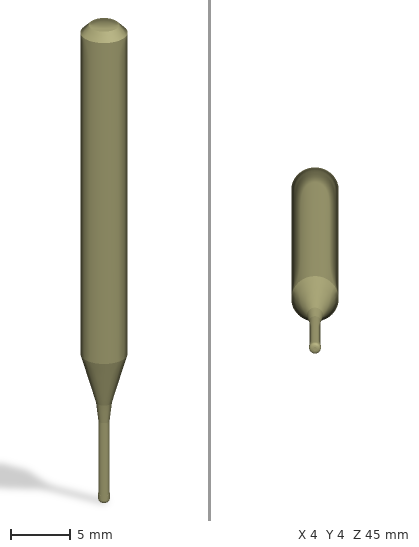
import cadquery as cq

total_length = 45.0
shank_diameter = 4.0
shank_radius = shank_diameter / 2
shank_chamfer = 0.7

shank_bottom = 14.0
taper_bottom = 9.4
neck_top = 7.65
head_height = 0.8

taper_end_radius = 0.68
neck_diameter = 0.95
neck_radius = neck_diameter / 2
head_radius = 0.5
corner_radius = 0.3


def make_shank():
    """Chamfered shank, steep taper, shallow taper and neck, turned as one body."""
    profile = (
        cq.Workplane("XZ")
        .moveTo(0, head_height)
        .lineTo(neck_radius, head_height)
        .lineTo(neck_radius, neck_top)
        .lineTo(taper_end_radius, taper_bottom)
        .lineTo(shank_radius, shank_bottom)
        .lineTo(shank_radius, total_length - shank_chamfer)
        .lineTo(shank_radius - shank_chamfer, total_length)
        .lineTo(0, total_length)
        .close()
    )
    return profile.revolve(360, (0, 0, 0), (0, 1, 0))


def make_cutting_head():
    """Short cylinder with a rounded lower corner, seated against the neck."""
    head = cq.Workplane("XY").circle(head_radius).extrude(head_height)
    return head.faces("<Z").edges().fillet(corner_radius)


shank = make_shank()
cutting_head = make_cutting_head()

result = cq.Compound.makeCompound([shank.val(), cutting_head.val()])